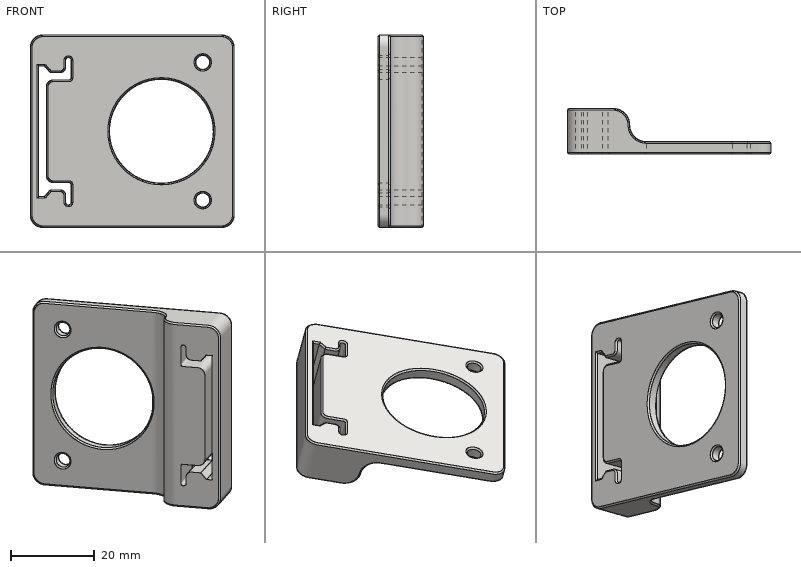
import cadquery as cq

WIDTH = 49.0
DEPTH = 11.0
HEIGHT = 46.3
CORNER_RADIUS = 3.0
CHAMFER = 0.4

PLATE_THICKNESS = 3.0
BLOCK_WIDTH = 15.0
BLEND_RADIUS = (DEPTH - PLATE_THICKNESS) / 2

BORE_DIAMETER = 25.0
BORE_X = 31.5
SCREW_DIAMETER = 3.4
SCREW_X = 41.45
SCREW_OFFSET_Z = 16.55

SLOT_LEFT = 2.0
SLOT_TOP = 15.7
TONGUE_LEFT = 3.8
TONGUE_TOP = 12.35
TONGUE_RADIUS = 1.7
BUMP_START = 3.4
BUMP_LEFT = 4.8
BUMP_BOTTOM = 14.1
BUMP_RADIUS = 1.3
NECK_LEFT = 8.5
NECK_RIGHT = 9.8
NECK_TOP = 17.75
NECK_CORNER_RADIUS = 0.5

MID_Z = HEIGHT / 2
DIAGONAL = 0.5 ** 0.5


def make_body():
    """Block and plate with rounded corners and chamfered front and back rims."""
    blend_mid_y = DEPTH - BLEND_RADIUS
    profile = (
        cq.Workplane("XY")
        .lineTo(WIDTH, 0)
        .lineTo(WIDTH, PLATE_THICKNESS)
        .lineTo(BLOCK_WIDTH + BLEND_RADIUS, PLATE_THICKNESS)
        .radiusArc((BLOCK_WIDTH, blend_mid_y), BLEND_RADIUS)
        .radiusArc((BLOCK_WIDTH - BLEND_RADIUS, DEPTH), -BLEND_RADIUS)
        .lineTo(0, DEPTH)
        .close()
    )
    body = profile.extrude(HEIGHT)
    body = body.edges("|Y").fillet(CORNER_RADIUS)
    body = body.faces("<Y").edges().chamfer(CHAMFER)
    return body.faces(">Y").edges("<X").chamfer(CHAMFER)


def cut_hole(body, x, z, diameter):
    """Round hole along Y through the plate, chamfered at both faces."""
    radius = diameter / 2
    flared_radius = radius + CHAMFER
    inward = cq.Vector(0, 1, 0)
    front = cq.Vector(x, 0, z)
    back = cq.Vector(x, PLATE_THICKNESS, z)
    cutters = [
        cq.Solid.makeCylinder(radius, DEPTH, front, inward),
        cq.Solid.makeCone(flared_radius, radius, CHAMFER, front, inward),
        cq.Solid.makeCone(flared_radius, radius, CHAMFER, back, -inward),
    ]
    for cutter in cutters:
        body = body.cut(cq.Workplane(cutter))
    return body


def cut_round_holes(body):
    """Central bore and the two screw holes beside it."""
    body = cut_hole(body, BORE_X, MID_Z, BORE_DIAMETER)
    for side in (-1, 1):
        body = cut_hole(body, SCREW_X, MID_Z + side * SCREW_OFFSET_Z, SCREW_DIAMETER)
    return body


def cut_clip_slot(body):
    """C-shaped slot around the tongue, chamfered at the front face."""
    bump_x = NECK_LEFT - BUMP_RADIUS
    bump_z = BUMP_BOTTOM + BUMP_RADIUS
    bump_bulge = BUMP_RADIUS * DIAGONAL
    neck_radius = (NECK_RIGHT - NECK_LEFT) / 2
    neck_arc_z = NECK_TOP - neck_radius
    corner_x = NECK_RIGHT - NECK_CORNER_RADIUS
    corner_z = TONGUE_TOP + NECK_CORNER_RADIUS
    corner_bulge = NECK_CORNER_RADIUS * DIAGONAL
    tongue_x = TONGUE_LEFT + TONGUE_RADIUS
    tongue_z = TONGUE_TOP - TONGUE_RADIUS
    tongue_bulge = TONGUE_RADIUS * DIAGONAL
    upper_half = (
        cq.Workplane("XZ", origin=(0, 0, MID_Z))
        .moveTo(SLOT_LEFT, 0)
        .lineTo(SLOT_LEFT, SLOT_TOP)
        .lineTo(BUMP_START, SLOT_TOP)
        .lineTo(BUMP_LEFT, BUMP_BOTTOM)
        .lineTo(bump_x, BUMP_BOTTOM)
        .threePointArc((bump_x + bump_bulge, bump_z - bump_bulge), (NECK_LEFT, bump_z))
        .lineTo(NECK_LEFT, neck_arc_z)
        .threePointArc((NECK_LEFT + neck_radius, NECK_TOP), (NECK_RIGHT, neck_arc_z))
        .lineTo(NECK_RIGHT, corner_z)
        .threePointArc((corner_x + corner_bulge, corner_z - corner_bulge), (corner_x, TONGUE_TOP))
        .lineTo(tongue_x, TONGUE_TOP)
        .threePointArc((tongue_x - tongue_bulge, tongue_z + tongue_bulge), (TONGUE_LEFT, tongue_z))
        .lineTo(TONGUE_LEFT, 0)
        .close()
        .extrude(-DEPTH)
    )
    lower_half = upper_half.mirror("XY", (0, 0, MID_Z))
    body = body.cut(upper_half.union(lower_half).clean())
    slot_box = cq.selectors.BoxSelector(
        (SLOT_LEFT - CHAMFER, -CHAMFER, MID_Z - NECK_TOP - CHAMFER),
        (NECK_RIGHT + CHAMFER, CHAMFER, MID_Z + NECK_TOP + CHAMFER),
        boundingbox=True,
    )
    return body.edges(slot_box).chamfer(CHAMFER)


result = cut_clip_slot(cut_round_holes(make_body()))